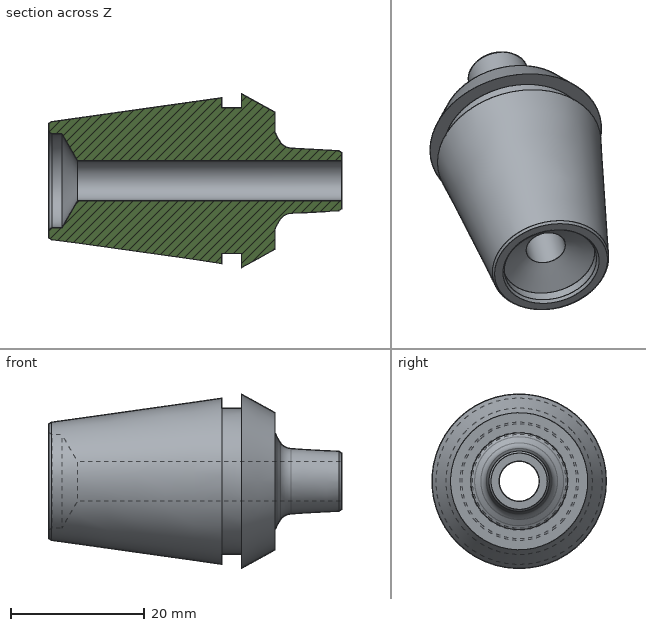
import cadquery as cq
import math

taper_end = 26.0
flange_start = 28.9
flange_end = 34.0
foot_cone_start = 34.28
neck_arc_start = 34.8
neck_arc_end = 36.4
total_length = 44.0

taper_small_radius = 8.9
taper_large_radius = 12.5
groove_radius = 11.0
flange_radius = 13.1
flange_end_radius = 10.3
foot_radius = 7.25
foot_cone_radius = 6.7
neck_arc_start_radius = 5.75
neck_arc_end_radius = 4.95
tip_radius = 4.55

taper_chamfer_length = 0.4
taper_chamfer_height = 0.25
tip_chamfer_length = 0.45
tip_chamfer_height = 0.3

mouth_radius = 7.35
mouth_depth = 0.5
bore_radius = 7.05
bore_depth = 2.0
hole_radius = 3.0
floor_half_angle = 60.0


def make_body():
    """Revolve the solid outer profile about the X axis."""
    return (
        cq.Workplane("XY")
        .moveTo(0, 0)
        .lineTo(total_length, 0)
        .lineTo(total_length, tip_radius - tip_chamfer_height)
        .lineTo(total_length - tip_chamfer_length, tip_radius)
        .lineTo(neck_arc_end, neck_arc_end_radius)
        .tangentArcPoint((neck_arc_start, neck_arc_start_radius), relative=False)
        .lineTo(foot_cone_start, foot_cone_radius)
        .lineTo(flange_end, foot_radius)
        .lineTo(flange_end, flange_end_radius)
        .lineTo(flange_start, flange_radius)
        .lineTo(flange_start, groove_radius)
        .lineTo(taper_end, groove_radius)
        .lineTo(taper_end, taper_large_radius)
        .lineTo(taper_chamfer_length, taper_small_radius)
        .lineTo(0, taper_small_radius - taper_chamfer_height)
        .close()
        .revolve(360, (0, 0, 0), (1, 0, 0))
    )


def make_bore():
    """Revolve the stepped bore that runs through the whole length."""
    floor_depth = (bore_radius - hole_radius) / math.tan(math.radians(floor_half_angle))
    return (
        cq.Workplane("XY")
        .moveTo(0, 0)
        .lineTo(0, mouth_radius)
        .lineTo(mouth_depth, bore_radius)
        .lineTo(bore_depth, bore_radius)
        .lineTo(bore_depth + floor_depth, hole_radius)
        .lineTo(total_length, hole_radius)
        .lineTo(total_length, 0)
        .close()
        .revolve(360, (0, 0, 0), (1, 0, 0))
    )


result = make_body().cut(make_bore())